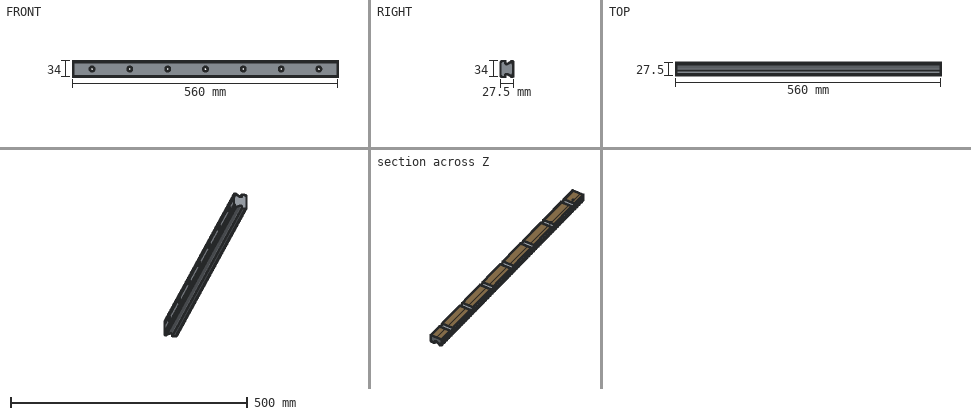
import cadquery as cq

length = 560.0
depth = 27.5
height = 34.0

front_chamfer = 3.0

groove_wall_y = -3.5
groove_wall_foot_z = 13.0
groove_floor_y = -1.0
groove_floor_z = 10.5
groove_slope_y = 1.0
groove_slope_z = 11.0
slope_break_y = 7.0
slope_break_z = 14.5

crest_front_y = 10.0
rear_chamfer = 1.5

rear_groove_radius = 1.5
rear_groove_z = 12.5

hole_count = 7
hole_pitch = length / hole_count
hole_diameter = 9.0

half_depth = depth / 2
half_height = height / 2


def make_half_rail():
    """Extrude the upper half of the cross-section along X."""
    section = (
        cq.Workplane("YZ")
        .moveTo(-half_depth, 0)
        .lineTo(-half_depth, half_height - front_chamfer)
        .lineTo(-half_depth + front_chamfer, half_height)
        .lineTo(groove_wall_y, half_height)
        .lineTo(groove_wall_y, groove_wall_foot_z)
        .threePointArc((groove_floor_y, groove_floor_z), (groove_slope_y, groove_slope_z))
        .lineTo(slope_break_y, slope_break_z)
        .lineTo(crest_front_y, half_height)
        .lineTo(half_depth - rear_chamfer, half_height)
        .lineTo(half_depth, half_height - rear_chamfer)
        .lineTo(half_depth, rear_groove_z + rear_groove_radius)
        .threePointArc(
            (half_depth - rear_groove_radius, rear_groove_z),
            (half_depth, rear_groove_z - rear_groove_radius),
        )
        .lineTo(half_depth, 0)
        .close()
    )
    return section.extrude(length / 2, both=True)


def make_rail():
    """Join the upper half to its mirror image below Z = 0."""
    upper_half = make_half_rail()
    return upper_half.union(upper_half.mirror("XY")).clean()


def make_holes():
    """Evenly spaced cylinders along X, with half a pitch left at each end."""
    row = cq.Workplane("XZ").rarray(hole_pitch, 5.5, hole_count, 1)
    return row.circle(hole_diameter / 2).extrude(half_depth, both=True)


result = make_rail().cut(make_holes())